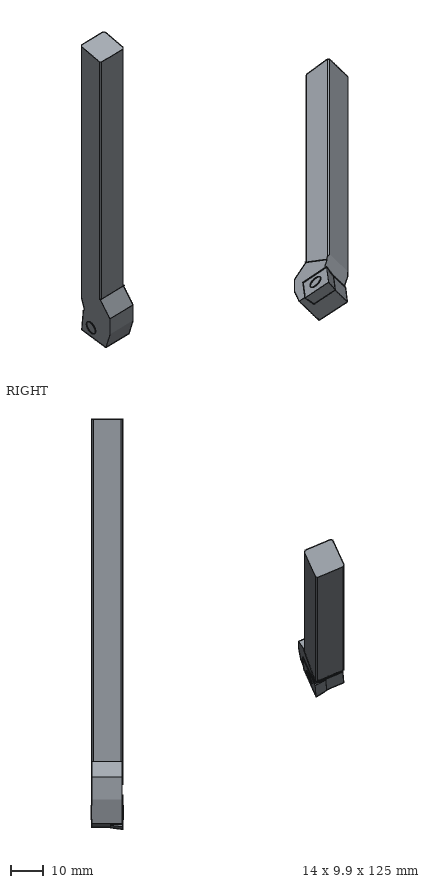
import cadquery as cq
import math

total_length = 125.0
shank_size = 9.5
shank_half = shank_size / 2
edge_chamfer = 0.5
shank_bottom = 20.8

head_reach = 14.0
shoulder_z = 16.0
shoulder_low_z = 9.0
heel_x = 12.1
heel_z = 1.9
neck_start_z = 16.2
neck_end_z = 11.6
neck_x = 1.5
neck_root_x = 1.8
neck_root_z = 10.5
seat_ledge_z = 9.6
seat_top_x = 1.4
seat_corner = 0.6

relief_depth = 0.2
relief_start_z = 13.0

inscribed_diameter = 9.5
corner_angle = 80.0
lead_angle = 5.0
clearance_angle = 7.0
insert_thickness = 3.8

screw_diameter = 4.2
screw_projection = 0.2
screw_length = shank_size + 2 * screw_projection

edge_length = inscribed_diameter / math.sin(math.radians(corner_angle))
long_step = edge_length * math.cos(math.radians(lead_angle))
short_step = edge_length * math.sin(math.radians(lead_angle))
insert_center = (long_step + short_step) / 2


def make_insert_blank():
    """Rhombus that tapers inward from its +Y cutting face."""
    outline = [
        (0, 0),
        (long_step, short_step),
        (long_step + short_step, long_step + short_step),
        (short_step, long_step),
    ]
    return (
        cq.Workplane("XZ", origin=(0, shank_half, 0))
        .polyline(outline)
        .close()
        .extrude(insert_thickness, taper=clearance_angle)
    )


def make_screw():
    """Cylinder through the head and insert, standing proud on both sides."""
    return (
        cq.Workplane("XZ", origin=(insert_center, screw_length / 2, insert_center))
        .circle(screw_diameter / 2)
        .extrude(screw_length)
    )


def make_shank():
    """Square bar with chamfered long edges, cut off along the slope of the neck."""
    bar = (
        cq.Workplane("XY", origin=(shank_half, 0, neck_end_z))
        .rect(shank_size, shank_size)
        .extrude(total_length - neck_end_z)
        .edges("|Z")
        .chamfer(edge_chamfer)
    )
    neck_wedge = (
        cq.Workplane("XZ")
        .polyline([(0, neck_start_z), (neck_x, neck_end_z), (0, neck_end_z)])
        .close()
        .extrude(shank_half, both=True)
    )
    return bar.cut(neck_wedge)


def make_head():
    """Cranked head with a tapered, rounded neck and a seat below it."""
    slope_z = neck_start_z - (neck_start_z - neck_end_z) * edge_chamfer / neck_x
    return (
        cq.Workplane("XZ", origin=(0, -shank_half, 0))
        .moveTo(edge_chamfer, shank_bottom)
        .lineTo(shank_size, shank_bottom)
        .lineTo(head_reach, shoulder_z)
        .lineTo(head_reach, shoulder_low_z)
        .lineTo(heel_x, heel_z)
        .lineTo(seat_corner, seat_corner)
        .lineTo(seat_top_x, seat_ledge_z)
        .lineTo(neck_x, seat_ledge_z)
        .threePointArc((neck_root_x, neck_root_z), (neck_x, neck_end_z))
        .lineTo(edge_chamfer, slope_z)
        .close()
        .extrude(-shank_size)
    )


def make_relief():
    """Cutter that lowers the +Y face below a line sloping up across the head."""
    outline = [
        (0, 0),
        (head_reach, 0),
        (head_reach, shank_bottom),
        (shank_size, shank_bottom),
        (0, relief_start_z),
    ]
    return cq.Workplane("XZ", origin=(0, shank_half, 0)).polyline(outline).close().extrude(relief_depth)


def make_holder(insert_blank, screw):
    """Shank and head with a pocket for the insert, joined to the screw."""
    body = make_shank().union(make_head())
    return body.cut(make_relief()).cut(insert_blank).union(screw)


insert_blank = make_insert_blank()
screw = make_screw()
insert = insert_blank.cut(screw)
holder = make_holder(insert_blank, screw)

result = cq.Compound.makeCompound([holder.solids().val(), insert.solids().val()])